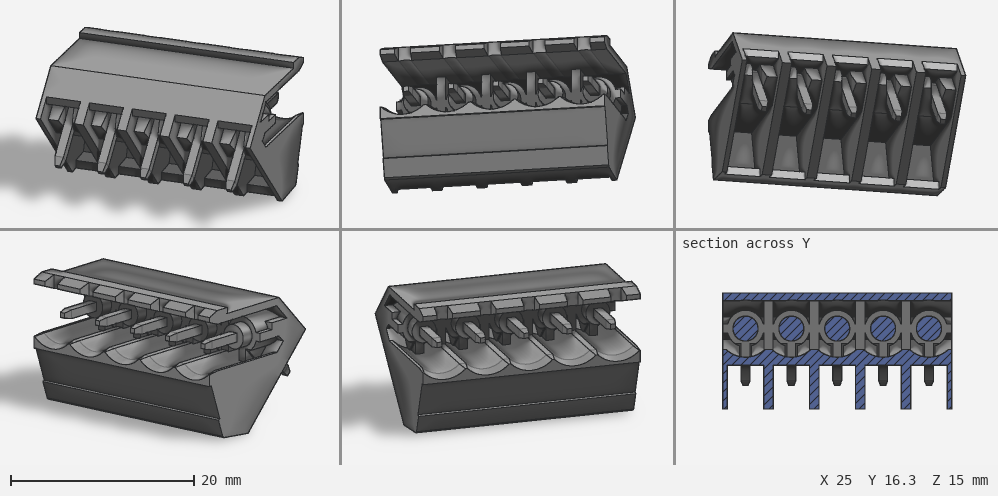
import cadquery as cq
import math


way_count = 5
pitch = 5.0
row_length = way_count * pitch

depth = 16.3
height = 14.95
nose_height = 9.75
arm_top = 14.28
arm_underside = 13.4
block_top = 8.12
mouth_taper_start = 14.98
latch_front = 13.28
latch_tip_top = 14.42
latch_tip_bottom = 13.88
block_lip_top = 7.95
block_lip_bottom = 6.62
back_corners = [(15.98, block_lip_bottom), (14.55, 2.65), (14.78, 2.52), (14.05, 0.55), (13.85, 0.35)]
overshoot = 1.25

axis_height = 10.38
plug_front = 7.75
plug_radius = 2.0
collar_radius = 1.38
collar_length = 1.5
bore_radius = 3.1
mouth_radius = 3.4
partition_width = 1.0
upper_end_offset = 8.48
lower_end_sum = 12.98
shoulder_height = 11.65
shoulder_front = 5.72
web_top = 10.88
web_bottom = 9.9
web_root = 4.55
lower_tip = 3.78
fin_width = 1.35
fin_core_width = 0.95
fin_core_embed = 0.12
fin_front_offset = 1.02

slot_width = 3.95
slot_front = 1.9
slot_ceiling = 10.82
ridge_depth = 2.42
ridge_height = 8.82
rear_ceiling = 6.38
floor_front = 10.78
floor_height = 0.98
rear_wall_foot = (13.1, 1.18)
rear_wall_top = 14.9
funnel_mouth = 1.65
funnel_depth = 1.32

pin_size = 1.0
pin_tip_size = 0.58
pin_taper = 1.0
pin_end = 14.45
pin_corner = 6.22
pin_tail_length = 8.5
pin_bend_radius = 2.0
bend_angle = 45.0

gap_outer_width = 1.8
gap_inner_width = 1.5


def prism(points, x_start, x_end):
    """Extrude a closed (y, z) outline from x_start to x_end."""
    return cq.Workplane("YZ", origin=(x_start, 0, 0)).polyline(points).close().extrude(x_end - x_start)


def cylinder_along_y(x, radius, y_start, y_end):
    plane = cq.Plane(origin=(x, y_start, axis_height), xDir=(1, 0, 0), normal=(0, 1, 0))
    return cq.Workplane(plane).circle(radius).extrude(y_end - y_start)


def mouth_cone(x):
    base = cq.Vector(x, mouth_taper_start, axis_height)
    cone = cq.Solid.makeCone(bore_radius, mouth_radius, depth - mouth_taper_start, base, cq.Vector(0, 1, 0))
    return cq.Workplane(obj=cone)


def housing_block():
    """Solid outline: latch arm on top, nose in front, foot at the back."""
    outline = [
        (0, nose_height),
        (arm_top - nose_height, arm_top),
        (latch_front, arm_top),
        (latch_front, height),
        (mouth_taper_start, height),
        (depth, latch_tip_top),
        (depth, latch_tip_bottom),
        (mouth_taper_start, arm_underside),
        (plug_front, arm_underside),
        (plug_front, block_top),
        (mouth_taper_start, block_top),
        (depth, block_lip_top),
        (depth, block_lip_bottom),
        *back_corners,
        (nose_height, 0),
    ]
    return prism(outline, 0, row_length)


def recess(x, x_start, x_end):
    """Space above and below the plug, behind its front face."""
    bore_top = axis_height + bore_radius + overshoot
    bore_bottom = axis_height - bore_radius - overshoot
    upper = [
        (plug_front, web_top),
        (shoulder_front, web_top),
        (shoulder_front, shoulder_height),
        (shoulder_height - upper_end_offset, shoulder_height),
        (bore_top - upper_end_offset, bore_top),
        (plug_front, bore_top),
    ]
    lower = [
        (plug_front, web_bottom),
        (web_root, web_bottom),
        (lower_tip, lower_end_sum - lower_tip),
        (lower_end_sum - bore_bottom, bore_bottom),
        (plug_front, bore_bottom),
    ]
    reach = prism(upper, x_start, x_end).union(prism(lower, x_start, x_end))
    slab = cq.Workplane("XY").box(
        x_end - x_start, plug_front, arm_underside - block_top, centered=False
    ).translate((x_start, 0, block_top))
    space = slab.union(cylinder_along_y(x, bore_radius, 0, plug_front))
    return space.intersect(reach).cut(plug(x))


def plug(x):
    """Round plug body on a fin, both bevelled at the lower front."""
    fin_bottom = axis_height - bore_radius - overshoot
    fin = [
        (0, axis_height),
        (plug_front, axis_height),
        (plug_front, fin_bottom),
        (0, fin_bottom),
    ]
    body = cylinder_along_y(x, plug_radius, 0, plug_front)
    body = body.union(prism(fin, x - fin_width / 2, x + fin_width / 2))
    bevel = [
        (plug_front, plug_front + fin_front_offset),
        (plug_front, fin_bottom),
        (fin_bottom - fin_front_offset, fin_bottom),
    ]
    return body.cut(prism(bevel, x - plug_radius, x + plug_radius))


def fin_core(x):
    """Narrower core of the fin that reaches the plug front without a bevel."""
    root = axis_height - bore_radius - fin_core_embed
    outline = [
        (lower_end_sum - root, web_bottom),
        (plug_front, web_bottom),
        (plug_front, root),
        (lower_end_sum - root, root),
    ]
    return prism(outline, x - fin_core_width / 2, x + fin_core_width / 2)


def slot(x):
    """Slot open to the nose and lower face, with a funnel that leads the pin out."""
    ceiling_rear = ridge_depth + slot_ceiling - ridge_height
    outline = [
        (slot_front, nose_height + slot_front + overshoot),
        (slot_front, slot_ceiling),
        (ceiling_rear, slot_ceiling),
        (ridge_depth, ridge_height),
        (ridge_depth + ridge_height - rear_ceiling, rear_ceiling),
        (rear_wall_top, rear_ceiling),
        rear_wall_foot,
        (floor_front, floor_height),
        (floor_front, -overshoot),
        (-overshoot, -overshoot),
        (-overshoot, nose_height + slot_front + overshoot),
    ]
    cut = prism(outline, x - slot_width / 2, x + slot_width / 2)
    funnel = (
        cq.Workplane("XY", origin=(x, ridge_depth, rear_ceiling))
        .polyline([
            (-funnel_mouth / 2, 0),
            (funnel_mouth / 2, 0),
            (pin_size / 2, funnel_depth),
            (-pin_size / 2, funnel_depth),
        ])
        .close()
        .extrude(slot_ceiling - rear_ceiling)
    )
    tail_offset = axis_height - pin_corner
    ridge_sum = ridge_depth + ridge_height
    exit_depth = (ridge_sum - tail_offset) / 2
    pin_exit = [
        (ridge_depth, ridge_height),
        (ceiling_rear, slot_ceiling),
        (slot_ceiling - tail_offset, slot_ceiling),
        (exit_depth, ridge_sum - exit_depth),
    ]
    return cut.union(funnel).union(prism(pin_exit, x - pin_size / 2, x + pin_size / 2))


def latch_gap(x):
    return (
        cq.Workplane("XY", origin=(x, mouth_taper_start, axis_height))
        .polyline([
            (-gap_inner_width / 2, 0),
            (gap_inner_width / 2, 0),
            (gap_outer_width / 2, depth - mouth_taper_start),
            (-gap_outer_width / 2, depth - mouth_taper_start),
        ])
        .close()
        .extrude(height - axis_height)
    )


def pin_leg(start, direction, length):
    """Straight square leg with a tapered tip."""
    plane = cq.Plane(origin=start, xDir=(1, 0, 0), normal=direction)
    shank = cq.Workplane(plane).rect(pin_size, pin_size).extrude(length - pin_taper)
    tip = (
        cq.Workplane(plane)
        .workplane(offset=length - pin_taper)
        .rect(pin_size, pin_size)
        .workplane(offset=pin_taper)
        .rect(pin_tip_size, pin_tip_size)
        .loft()
    )
    return shank.union(tip)


def pin(x):
    """Square pin: level contact, 45 degree bend, tail square to the lower face."""
    setback = pin_bend_radius * math.tan(math.radians(bend_angle / 2))
    bend_start = (x, pin_corner + setback, axis_height)
    drop = setback * math.sin(math.radians(bend_angle))
    tail_start = (x, pin_corner - drop, axis_height - drop)
    bend = (
        cq.Workplane(cq.Plane(origin=bend_start, xDir=(1, 0, 0), normal=(0, -1, 0)))
        .rect(pin_size, pin_size)
        .revolve(bend_angle, (0, -pin_bend_radius, 0), (1, -pin_bend_radius, 0))
    )
    contact = pin_leg(bend_start, (0, 1, 0), pin_end - bend_start[1])
    tail = pin_leg(tail_start, (0, -1, -1), pin_tail_length - setback)
    return contact.union(bend).union(tail)


result = housing_block()
way_centres = [pitch * (way + 0.5) for way in range(way_count)]

for x in way_centres:
    half_span = (pitch - partition_width) / 2
    x_start = 0 if x == way_centres[0] else x - half_span
    x_end = row_length if x == way_centres[-1] else x + half_span
    result = result.cut(recess(x, x_start, x_end))
    result = result.cut(cylinder_along_y(x, bore_radius, plug_front, mouth_taper_start))
    result = result.cut(mouth_cone(x))
    result = result.cut(latch_gap(x))
    result = result.cut(slot(x))

for x in way_centres:
    result = result.union(cylinder_along_y(x, collar_radius, plug_front, plug_front + collar_length))
    result = result.union(fin_core(x))
    result = result.union(pin(x))